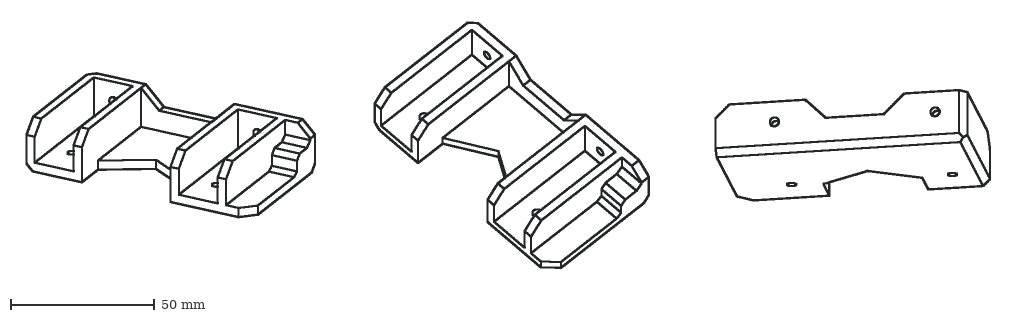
import cadquery as cq
import math

length = 89.0
depth = 47.5
height = 18.5

floor = 3.6
back_wall = 3.6
side_wall = 3.3
channel_outer = 22.0
channel_inner = channel_outer - 2 * side_wall
channel_starts = (0, 57.05)
gap_start = channel_starts[0] + channel_outer
gap_end = channel_starts[1]
gap_middle = (gap_start + gap_end) / 2
ledge_start = channel_starts[1] + channel_outer
wall_face = depth - back_wall

large_bevel = 5.0
small_bevel = 2.5
low_wall_height = 11.3
relief_run = height - low_wall_height
notch_side_depth = 11.9
notch_angle = math.radians(30)
notch_tip = notch_side_depth + (gap_middle - gap_start) * math.tan(notch_angle)

hole_diameter = 3.2
back_hole_height = 10.95
floor_hole_y = 13.4

step_front = 34.1
step_top = 10.95
step_bevel = 2.0
upper_slope_run = 2.5
upper_slope_rise = 2.0
foot_run = 2.2
foot_rise = 1.3


def make_floor():
    """Base plate with the pointed notch and the cut front right corner."""
    outline = [
        (0, 0),
        (gap_start, 0),
        (gap_start, notch_side_depth),
        (gap_middle, notch_tip),
        (gap_end, notch_side_depth),
        (gap_end, 0),
        (length - large_bevel, 0),
        (length, large_bevel),
        (length, depth),
        (0, depth),
    ]
    return cq.Workplane("XY").polyline(outline).close().extrude(floor)


def make_back_wall():
    """Back wall, lowered between the channels and beveled at its right end."""
    outline = [
        (0, 0),
        (length, 0),
        (length, height - large_bevel),
        (length - large_bevel, height),
        (gap_end, height),
        (gap_end - relief_run, low_wall_height),
        (gap_start + relief_run, low_wall_height),
        (gap_start, height),
        (0, height),
    ]
    wall = cq.Workplane("XZ").polyline(outline).close().extrude(back_wall)
    return wall.translate((0, depth, 0))


def make_side_wall(x):
    """Channel side wall with a beveled upper front corner."""
    outline = [
        (0, 0),
        (depth, 0),
        (depth, height),
        (large_bevel, height),
        (0, height - large_bevel),
    ]
    return cq.Workplane("YZ").workplane(offset=x).polyline(outline).close().extrude(side_wall)


def make_stepped_block():
    """Step with sloped transitions between the right ledge and the back wall."""
    outline = [
        (wall_face, floor),
        (wall_face, step_top + upper_slope_rise),
        (wall_face - upper_slope_run, step_top),
        (step_front + step_bevel, step_top),
        (step_front, step_top - step_bevel),
        (step_front, floor + foot_rise),
        (step_front - foot_run, floor),
    ]
    block = cq.Workplane("YZ").workplane(offset=ledge_start).polyline(outline).close()
    return block.extrude(length - ledge_start)


def corner_cut(plane, corner, legs, distance):
    """Triangular prism that bevels one long outer edge."""
    first, second = corner
    points = [corner, (first + legs[0], second), (first, second + legs[1])]
    return cq.Workplane(plane).polyline(points).close().extrude(distance)


body = make_floor().union(make_back_wall()).union(make_stepped_block())
for start in channel_starts:
    body = body.union(make_side_wall(start))
    body = body.union(make_side_wall(start + side_wall + channel_inner))

for start in channel_starts:
    hole_x = start + channel_outer / 2
    back_hole = cq.Workplane("XZ").center(hole_x, back_hole_height).circle(hole_diameter / 2)
    body = body.cut(back_hole.extrude(-depth))
    floor_hole = cq.Workplane("XY").center(hole_x, floor_hole_y).circle(hole_diameter / 2)
    body = body.cut(floor_hole.extrude(floor))

body = body.cut(corner_cut("XZ", (0, 0), (small_bevel, small_bevel), -depth))
body = body.cut(corner_cut("YZ", (depth, 0), (-small_bevel, small_bevel), length))
body = body.cut(corner_cut("XY", (0, depth), (small_bevel, -small_bevel), height))

result = body.clean()